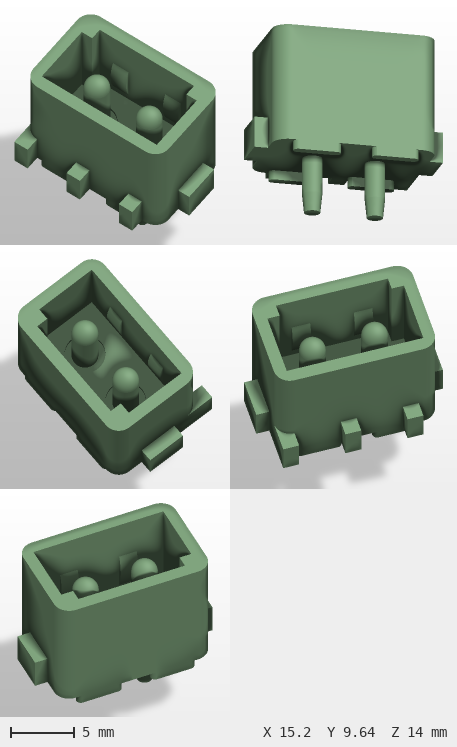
import cadquery as cq
import math


overall_length = 15.24
housing_length = 13.1
housing_width = 8.38
housing_height = 9.5
corner_radius = 1.3
base_thickness = 2.5

cavity_length = 11.15
cavity_width = 6.3
key_size = 1.0

pin_pitch = 5.07
pin_xs = [-pin_pitch / 2, pin_pitch / 2]
contact_radius = 1.05
contact_top = 7.99
pin_recess_radius = 1.6
pin_recess_depth = 0.25
tail_diameter = 1.6
tail_radius = tail_diameter / 2
tail_length = 4.48
tail_tip_radius = 0.64
tail_tip_length = 1.51

bump_width = 1.51
bump_height = 0.32
bump_top = 6.1
bump_span = 3.05

side_block_width = 3.29
front_block_length = 1.3
front_block_reach = 1.26
front_block_count = 3

foot_width = 0.8
foot_straight_inner = 1.6
foot_straight_outer = 4.66
round_end_bulge = foot_width / 2
shallow_end_bulge = 0.27
foot_height = 0.76


def block(x_min, x_max, y_min, y_max, z_min, z_max):
    return cq.Workplane("XY").box(
        x_max - x_min, y_max - y_min, z_max - z_min, centered=False
    ).translate((x_min, y_min, z_min))


def make_shell():
    outer = (
        cq.Workplane("XY")
        .rect(housing_length, housing_width)
        .extrude(housing_height)
        .edges("|Z")
        .fillet(corner_radius)
    )
    half_length = cavity_length / 2
    half_width = cavity_width / 2
    cavity = block(-half_length, half_length, -half_width, half_width, base_thickness, housing_height)
    for x_corner in (-half_length, half_length):
        key = block(
            x_corner - key_size, x_corner + key_size,
            half_width - key_size, half_width,
            base_thickness, housing_height,
        )
        cavity = cavity.cut(key)
    return outer.cut(cavity)


def make_side_blocks():
    return cq.Workplane("XY").rect(overall_length, side_block_width).extrude(base_thickness)


def make_front_block(x_min):
    front = -housing_width / 2
    return block(
        x_min, x_min + front_block_length,
        front - front_block_reach, front + corner_radius,
        0, base_thickness,
    )


def make_foot(x_side, y_side, inner_bulge):
    x_inner = x_side * foot_straight_inner
    x_outer = x_side * foot_straight_outer
    y_wall = y_side * housing_width / 2
    y_inside = y_wall - y_side * foot_width
    y_middle = (y_wall + y_inside) / 2
    return (
        cq.Workplane("XY")
        .moveTo(x_inner, y_wall)
        .lineTo(x_outer, y_wall)
        .threePointArc((x_outer + x_side * round_end_bulge, y_middle), (x_outer, y_inside))
        .lineTo(x_inner, y_inside)
        .threePointArc((x_inner - x_side * inner_bulge, y_middle), (x_inner, y_wall))
        .close()
        .extrude(-foot_height)
    )


def make_bump(x_center, side):
    wall = side * cavity_width / 2
    crest = wall - side * bump_height
    return (
        cq.Workplane("YZ", origin=(x_center, 0, 0))
        .moveTo(wall, bump_top)
        .threePointArc((crest, bump_top - bump_span / 2), (wall, bump_top - bump_span))
        .close()
        .extrude(bump_width / 2, both=True)
    )


def make_pin_recess(x_center):
    return (
        cq.Workplane("XY", origin=(x_center, 0, base_thickness))
        .circle(pin_recess_radius)
        .extrude(-pin_recess_depth)
    )


def make_pin(x_center):
    dome_center = contact_top - contact_radius
    dome_mid = contact_radius * math.sqrt(0.5)
    return (
        cq.Workplane("XZ", origin=(x_center, 0, 0))
        .moveTo(0, -tail_length)
        .lineTo(tail_tip_radius, -tail_length)
        .lineTo(tail_radius, tail_tip_length - tail_length)
        .lineTo(tail_radius, 0)
        .lineTo(contact_radius, 0)
        .lineTo(contact_radius, dome_center)
        .threePointArc((dome_mid, dome_center + dome_mid), (0, contact_top))
        .close()
        .revolve(360, (0, 0), (0, 1))
    )


result = make_shell().union(make_side_blocks())

for index in range(front_block_count):
    result = result.union(make_front_block(-housing_length / 2 + index * pin_pitch))

for side in (-1, 1):
    result = result.union(make_foot(-1, side, shallow_end_bulge))
    result = result.union(make_foot(1, side, round_end_bulge))
    for x_center in pin_xs:
        result = result.union(make_bump(x_center, side))

for x_center in pin_xs:
    result = result.cut(make_pin_recess(x_center)).union(make_pin(x_center))